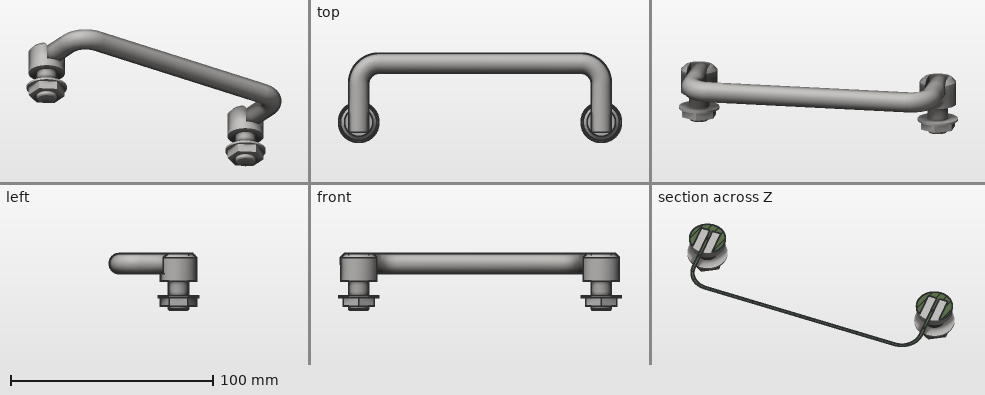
import cadquery as cq
import math

ROD_DIAMETER = 10.0
BEND_RADIUS = 10.0
HOLE_SPACING = 120.0
ROD_REACH = 29.2
ROD_END = 5.0

BOSS_DIAMETER = 18.0
BOSS_HEIGHT = 13.7
BOSS_CHAMFER = 2.0

STUD_DIAMETER = 10.0
STUD_END = 28.0
STUD_CHAMFER = 0.6
WASHER_DIAMETER = 20.0
WASHER_THICKNESS = 1.0
NUT_ACROSS_FLATS = 15.5
NUT_HEIGHT = 4.0
NUT_BOTTOM = 26.0


ROD_RADIUS = ROD_DIAMETER / 2
FOOT_X = HOLE_SPACING / 2


def disc(diameter, bottom, height):
    """Upright cylinder on the Z axis."""
    return cq.Workplane("XY").workplane(offset=bottom).circle(diameter / 2).extrude(height)


def make_rod():
    """U-shaped handle with both ends cut square."""
    bend_start = ROD_REACH - BEND_RADIUS
    grip_end = FOOT_X - BEND_RADIUS
    arc_offset = BEND_RADIUS * math.sqrt(0.5)
    path = (
        cq.Workplane("XY")
        .workplane(offset=-ROD_RADIUS)
        .moveTo(-FOOT_X, -ROD_END)
        .lineTo(-FOOT_X, bend_start)
        .threePointArc((-grip_end - arc_offset, bend_start + arc_offset), (-grip_end, ROD_REACH))
        .lineTo(grip_end, ROD_REACH)
        .threePointArc((grip_end + arc_offset, bend_start + arc_offset), (FOOT_X, bend_start))
        .lineTo(FOOT_X, -ROD_END)
    )
    section = cq.Workplane("XZ", origin=(-FOOT_X, -ROD_END, -ROD_RADIUS)).circle(ROD_RADIUS)
    return section.sweep(path)


def make_slot():
    """Square slot as deep as the rod, open at the top and towards the grip."""
    length = ROD_END + BOSS_DIAMETER / 2
    return cq.Workplane("XY").box(
        ROD_DIAMETER, length, ROD_DIAMETER, centered=(True, False, False)
    ).translate((0, -ROD_END, -ROD_DIAMETER))


def make_boss():
    """Chamfered boss with the slot that takes the rod end."""
    boss = disc(BOSS_DIAMETER, -BOSS_HEIGHT, BOSS_HEIGHT).faces(">Z").chamfer(BOSS_CHAMFER)
    return boss.cut(make_slot())


def make_nut():
    """Plain hexagon nut with two corners on the Y direction."""
    across_corners = NUT_ACROSS_FLATS / math.cos(math.pi / 6)
    return (
        cq.Workplane("XY")
        .workplane(offset=-NUT_BOTTOM)
        .polygon(6, across_corners)
        .extrude(NUT_HEIGHT)
        .rotate((0, 0, 0), (0, 0, 1), 90)
    )


def make_foot():
    """Boss, stud, washer and nut on the Z axis."""
    stud = disc(STUD_DIAMETER, -STUD_END, STUD_END - BOSS_HEIGHT).faces("<Z").chamfer(STUD_CHAMFER)
    washer_bottom = -NUT_BOTTOM + NUT_HEIGHT
    washer = disc(WASHER_DIAMETER, washer_bottom, WASHER_THICKNESS)
    return make_boss().union(stud).union(washer).union(make_nut())


result = make_rod()
for foot_x in (-FOOT_X, FOOT_X):
    result = result.union(make_foot().translate((foot_x, 0, 0)))